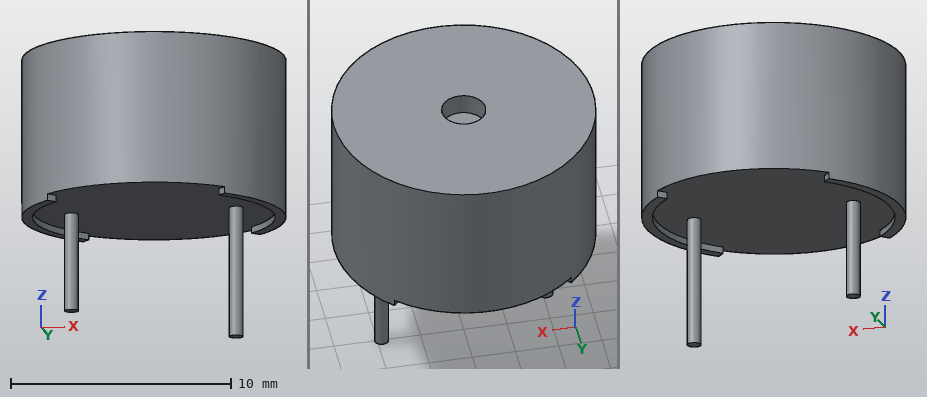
import cadquery as cq
import math

total_height = 13.0
body_diameter = 12.0
body_height = 7.3
foot_height = 0.3
foot_wall = 0.5
foot_half_angle = 47.0
hole_diameter = 2.0
hole_depth = 1.0
pin_diameter = 0.64
pin_spacing = 7.6
short_pin_lift = 1.51

body_radius = body_diameter / 2
foot_inner_radius = body_radius - foot_wall
foot_bottom = total_height - body_height
body_bottom = foot_bottom + foot_height


def polar(radius, degrees):
    """Point in the XY plane at a radius and angle about the body axis."""
    angle = math.radians(degrees)
    return radius * math.cos(angle), radius * math.sin(angle)


def make_foot(direction):
    """Annular sector under the body rim, centred on the given angle."""
    start = direction - foot_half_angle
    end = direction + foot_half_angle
    return (
        cq.Workplane("XY", origin=(0, 0, foot_bottom))
        .moveTo(*polar(foot_inner_radius, start))
        .lineTo(*polar(body_radius, start))
        .threePointArc(polar(body_radius, direction), polar(body_radius, end))
        .lineTo(*polar(foot_inner_radius, end))
        .threePointArc(polar(foot_inner_radius, direction), polar(foot_inner_radius, start))
        .close()
        .extrude(foot_height)
    )


def make_pin(x, tip):
    """Round pin from its tip up to the underside of the body."""
    return (
        cq.Workplane("XY", origin=(x, 0, tip))
        .circle(pin_diameter / 2)
        .extrude(body_bottom - tip)
    )


result = (
    cq.Workplane("XY", origin=(0, 0, body_bottom))
    .circle(body_radius)
    .extrude(total_height - body_bottom)
    .faces(">Z")
    .workplane()
    .hole(hole_diameter, hole_depth)
)

for foot_direction in (0, 180):
    result = result.union(make_foot(foot_direction))

for pin_x, pin_tip in ((-pin_spacing / 2, short_pin_lift), (pin_spacing / 2, 0)):
    result = result.union(make_pin(pin_x, pin_tip))